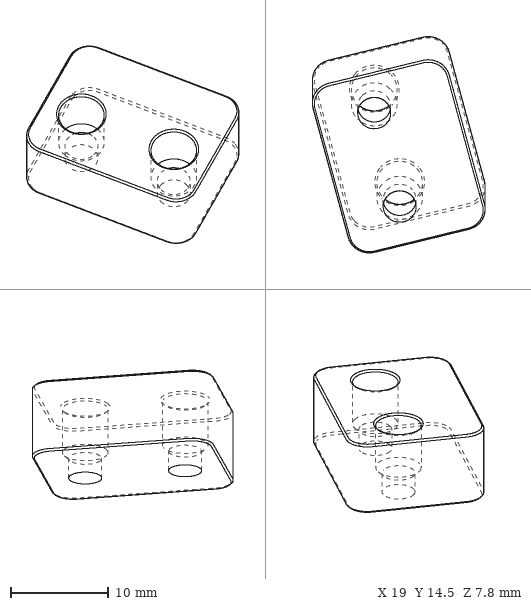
import cadquery as cq

length = 19.0
width = 14.5
height = 7.8
corner_radius = 2.25
edge_chamfer = 0.2

hole_spacing = 10.5
hole_row_y = -1.25
through_diameter = 3.4
head_diameter = 4.7
head_depth = 5.0
mouth_chamfer = 0.2


def make_block():
    """Rounded rectangular block with chamfered top and bottom rims."""
    block = cq.Workplane("XY").box(length, width, height, centered=(True, True, False))
    block = block.edges("|Z").fillet(corner_radius)
    return block.faces("<Z or >Z").edges().chamfer(edge_chamfer)


def make_hole_cutter(center_x):
    """Screw hole: chamfered mouth, head bore, 45 degree seat and through bore."""
    through_radius = through_diameter / 2
    head_radius = head_diameter / 2
    seat_top = height - head_depth
    seat_bottom = seat_top - (head_radius - through_radius)
    profile = [
        (0, 0),
        (through_radius, 0),
        (through_radius, seat_bottom),
        (head_radius, seat_top),
        (head_radius, height - mouth_chamfer),
        (head_radius + mouth_chamfer, height),
        (0, height),
    ]
    cutter = cq.Workplane("XZ").polyline(profile).close().revolve(360, (0, 0), (0, 1))
    return cutter.translate((center_x, hole_row_y, 0))


result = make_block()
for side in (-1, 1):
    result = result.cut(make_hole_cutter(side * hole_spacing / 2))